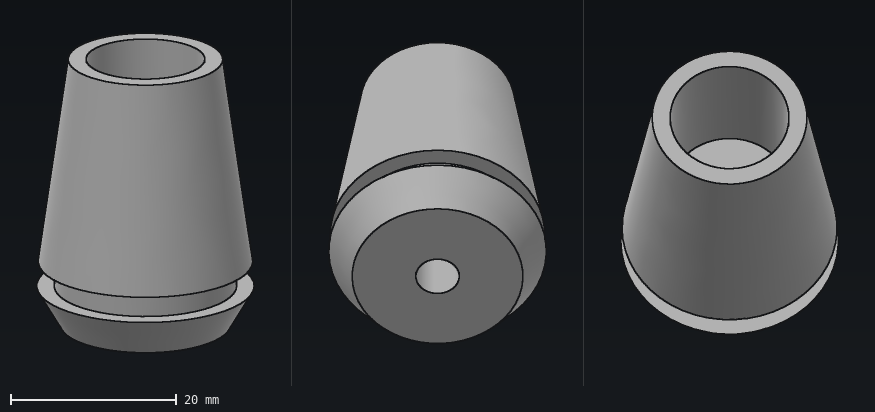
import cadquery as cq
import math

total_height = 34.0
nose_height = 4.93
groove_width = 3.15
groove_top = nose_height + groove_width

nose_max_radius = 13.15
nose_angle = 30.0
groove_radius = 11.0
body_max_radius = 13.0
body_angle = 8.0
nose_min_radius = nose_max_radius - nose_height * math.tan(math.radians(nose_angle))
body_min_radius = body_max_radius - (total_height - groove_top) * math.tan(math.radians(body_angle))

bore_radius = 7.17
hole_radius = 2.62
bore_depth = total_height / 2
bore_floor = total_height - bore_depth

half_section = [
    (hole_radius, 0),
    (nose_min_radius, 0),
    (nose_max_radius, nose_height),
    (groove_radius, nose_height),
    (groove_radius, groove_top),
    (body_max_radius, groove_top),
    (body_min_radius, total_height),
    (bore_radius, total_height),
    (bore_radius, bore_floor),
    (hole_radius, bore_floor),
]

result = cq.Workplane("XZ").polyline(half_section).close().revolve(360, (0, 0, 0), (0, 1, 0))